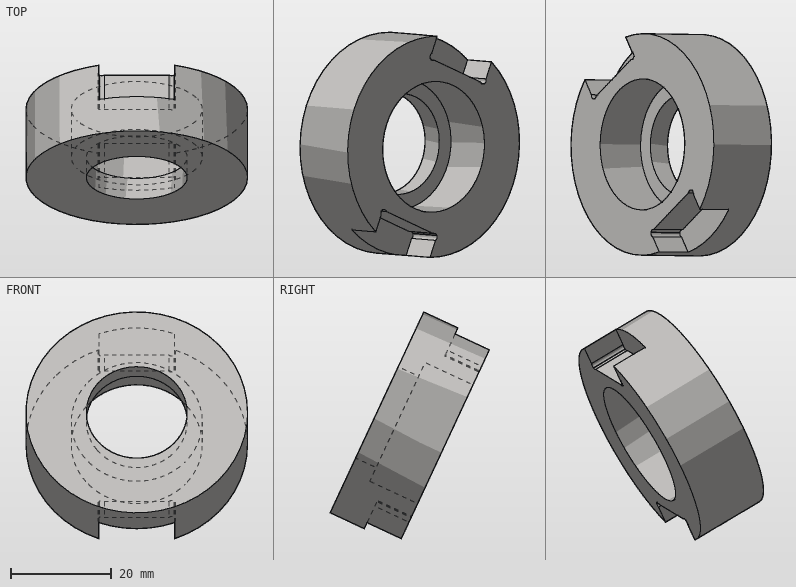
import cadquery as cq

outer_diameter = 44.0
thickness = 15.0
bore_diameter = 20.0
bore_length = 4.5
counterbore_diameter = 26.0
counterbore_depth = thickness - bore_length

notch_width = 15.0
notch_depth = 7.5
notch_floor_radius = 16.0

relief_diameter = 1.5
relief_inset = 0.56

axis_turn = 90.0
tilt_angle = 25.0


def ring_blank():
    """Ring with its front face on Z = 0 and its back face at Z = thickness."""
    blank = cq.Workplane("XY").circle(outer_diameter / 2).extrude(thickness)
    bore = cq.Workplane("XY").circle(bore_diameter / 2).extrude(thickness)
    counterbore = (
        cq.Workplane("XY", origin=(0, 0, bore_length))
        .circle(counterbore_diameter / 2)
        .extrude(counterbore_depth)
    )
    return blank.cut(bore).cut(counterbore)


def notch_cutter(side):
    """Rectangular notch with corner reliefs, on the +Y (side = 1) or -Y (side = -1) rim."""
    radial_length = outer_diameter / 2
    back_plane = cq.Workplane("XY", origin=(0, 0, thickness - notch_depth))
    slot = (
        back_plane.center(0, side * (notch_floor_radius + radial_length / 2))
        .rect(notch_width, radial_length)
        .extrude(notch_depth)
    )
    relief_x = notch_width / 2 - relief_inset
    relief_y = side * (notch_floor_radius + relief_inset)
    reliefs = (
        back_plane.pushPoints([(-relief_x, relief_y), (relief_x, relief_y)])
        .circle(relief_diameter / 2)
        .extrude(notch_depth)
    )
    return slot.union(reliefs)


ring = ring_blank()
for side in (-1, 1):
    ring = ring.cut(notch_cutter(side))

result = ring.rotate((0, 0, 0), (1, 0, 0), -(axis_turn + tilt_angle))